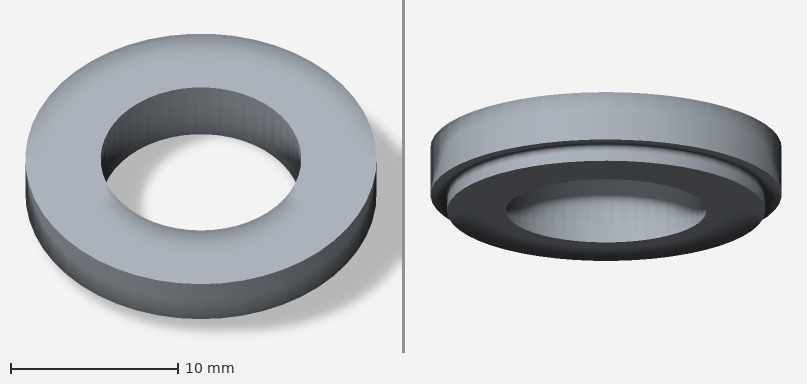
import cadquery as cq

outer_diameter = 21.0
step_diameter = 19.0
bore_diameter = 12.0
total_height = 4.0
step_height = 1.0
root_fillet_radius = 0.1

step = cq.Workplane("XY").circle(step_diameter / 2).extrude(step_height)

flange = (
    cq.Workplane("XY")
    .workplane(offset=step_height)
    .circle(outer_diameter / 2)
    .extrude(total_height - step_height)
)

bore = cq.Workplane("XY").circle(bore_diameter / 2).extrude(total_height)

corner = cq.selectors.RadiusNthSelector(0)
body = step.union(flange).faces("<Z[1]").edges(corner).fillet(root_fillet_radius)

result = body.cut(bore)